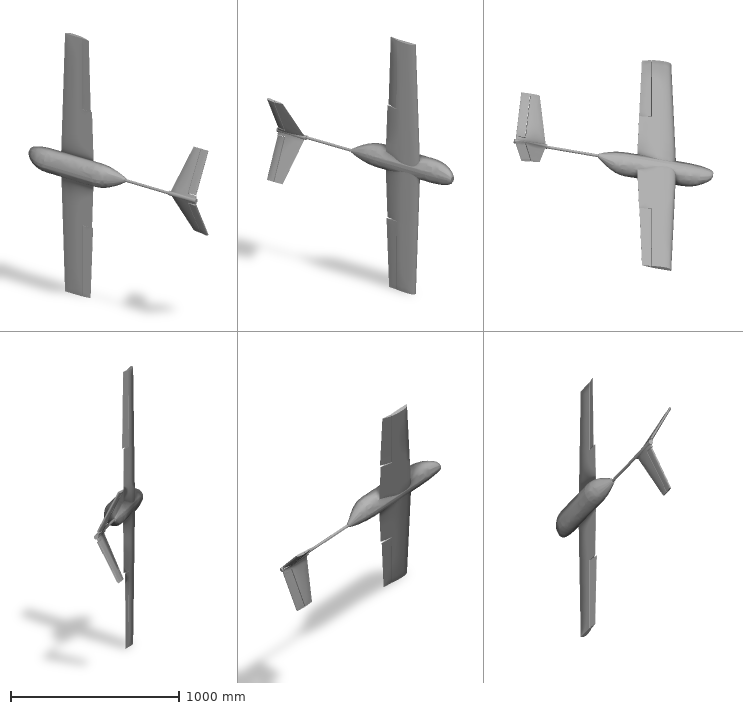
import cadquery as cq
import math


FUSELAGE_LENGTH = 699.0
NOSE_LENGTH = 170.0
TAIL_CONE_START = 519.0
FUSELAGE_HALF_WIDTH = 74.0
FUSELAGE_TOP = 34.0
FUSELAGE_BOTTOM = -99.0
NOSE_TIP_RADIUS = 18.0
TAIL_TIP_RADIUS = 12.0
NOSE_POWERS = (0.5, 0.9, 0.6)
TAIL_POWERS = (1.1, 1.3, 1.0)
CONE_STEPS = 6
STATION_POWER = 1.5
HALF_ELLIPSE_STEPS = 8

TOTAL_LENGTH = 1215.0
BOOM_RADIUS = 8.0
MOUNT_START = 1013.0
MOUNT_RADIUS = 13.0
MOUNT_AXIS_Y = 3.0

HALF_SPAN = 840.0
PANEL_JOINT = 376.0
WING_ROOT_FRONT = 223.0
WING_ROOT_REAR = 464.0
WING_TIP_FRONT = 254.0
WING_TIP_REAR = 433.0
WING_BOTTOM = 2.0
WING_THICKNESS_RATIO = 0.12
WING_CREST = 0.3
WING_AFT = 0.65
WING_AFT_HEIGHT = 0.7
WING_EDGE_HEIGHT = 0.08
WING_REAR_SLOPE = 0.15

HINGE_GAP = 3.0
AILERON_FRONT = 380.0
AILERON_ANGLE = 8.0
RUDDERVATOR_FRONT = 1152.0
RUDDERVATOR_START = 32.0
RUDDERVATOR_ANGLE = 8.0

TAIL_DIHEDRAL = 27.4
TAIL_SPAN = 305.0
TAIL_ROOT_START = 10.0
TAIL_ROOT_FRONT = 1023.0
TAIL_TIP_FRONT = 1094.0
TAIL_REAR = 1205.0
TAIL_ROOT_THICKNESS = 15.0
TAIL_TIP_THICKNESS = 12.0
TAIL_CREST = 0.35
TAIL_EDGE_RATIO = 0.1

CUTTER_HEIGHT = 168.0
CUTTER_REACH = 168.0


def fuselage_section(x, top, bottom, half_width):
    """Ellipse at station x as two smooth halves that meet on the Z = 0 plane."""
    half_height = (top - bottom) / 2
    section = cq.Workplane("YZ", origin=(x, (top + bottom) / 2, 0)).moveTo(-half_height, 0)
    for side in (1, -1):
        points = []
        for step in range(1, HALF_ELLIPSE_STEPS + 1):
            angle = math.pi * step / HALF_ELLIPSE_STEPS
            points.append((-side * half_height * math.cos(angle), side * half_width * math.sin(angle)))
        section = section.spline(points, tangents=[(0, side), (0, -side)], includeCurrent=True)
    return section.close().val()


def swell(start, end, fraction, power):
    """Value growing from start to end, levelling off as fraction nears 1."""
    return start + (end - start) * (1 - (1 - fraction) ** 2) ** power


def fuselage_cone(tip_x, full_x, tip_radius, top_power, bottom_power, width_power):
    """Rounded end from a small round face at tip_x to the full section at full_x."""
    sections = []
    for step in range(CONE_STEPS + 1):
        fraction = (step / CONE_STEPS) ** STATION_POWER
        sections.append(fuselage_section(
            tip_x + (full_x - tip_x) * fraction,
            swell(tip_radius, FUSELAGE_TOP, fraction, top_power),
            swell(-tip_radius, FUSELAGE_BOTTOM, fraction, bottom_power),
            swell(tip_radius, FUSELAGE_HALF_WIDTH, fraction, width_power),
        ))
    return cq.Workplane(cq.Solid.makeLoft(sections))


def make_fuselage(wing):
    """Body with a blunt nose, a constant middle and a tail cone, holed for the wing."""
    nose = fuselage_cone(0, NOSE_LENGTH, NOSE_TIP_RADIUS, *NOSE_POWERS)
    tail_cone = fuselage_cone(FUSELAGE_LENGTH, TAIL_CONE_START, TAIL_TIP_RADIUS, *TAIL_POWERS)
    middle_ends = [
        fuselage_section(x, FUSELAGE_TOP, FUSELAGE_BOTTOM, FUSELAGE_HALF_WIDTH)
        for x in (NOSE_LENGTH, TAIL_CONE_START)
    ]
    middle = cq.Workplane(cq.Solid.makeLoft(middle_ends, True))
    return middle.union(nose, clean=False).union(tail_cone, clean=False).cut(wing, clean=False)


def rod(start, end, radius, axis_y):
    """Round rod along X."""
    return cq.Workplane("YZ", origin=(start, axis_y, 0)).circle(radius).extrude(end - start)


def wing_section(z):
    """Flat-bottomed airfoil wire at span position z."""
    fraction = abs(z) / HALF_SPAN
    front = WING_ROOT_FRONT + (WING_TIP_FRONT - WING_ROOT_FRONT) * fraction
    rear = WING_ROOT_REAR + (WING_TIP_REAR - WING_ROOT_REAR) * fraction
    chord = rear - front
    thickness = chord * WING_THICKNESS_RATIO
    return (
        cq.Workplane("XY", origin=(front, WING_BOTTOM, z))
        .moveTo(chord, 0)
        .lineTo(chord, WING_EDGE_HEIGHT * thickness)
        .spline(
            [(WING_AFT * chord, WING_AFT_HEIGHT * thickness), (WING_CREST * chord, thickness), (0, 0)],
            tangents=[(-1, WING_REAR_SLOPE), (0, -1)],
            includeCurrent=True,
        )
        .close()
        .val()
    )


def make_full_wing():
    """Straight-tapered wing, ailerons not yet separated."""
    stations = (-HALF_SPAN, -PANEL_JOINT, 0, PANEL_JOINT, HALF_SPAN)
    sections = [wing_section(z) for z in stations]
    return cq.Workplane(cq.Solid.makeLoft(sections, True))


def rear_block(front, start, end, side):
    """Block behind x = front, from span position start to end on one side."""
    block = cq.Workplane("XY").box(
        WING_ROOT_REAR - AILERON_FRONT + CUTTER_REACH, CUTTER_HEIGHT, end - start,
        centered=(False, True, False),
    ).translate((front, 0, start))
    return block if side > 0 else block.mirror("XY")


def make_aileron(full_wing, side):
    """Aileron cut from the wing and turned about its hinge; +Z goes down, -Z up."""
    block = rear_block(AILERON_FRONT, PANEL_JOINT + HINGE_GAP, HALF_SPAN + CUTTER_REACH, side)
    hinge_y = WING_BOTTOM + WING_THICKNESS_RATIO * (WING_TIP_REAR - WING_TIP_FRONT) / 2
    hinge_start = (AILERON_FRONT, hinge_y, 0)
    hinge_end = (AILERON_FRONT, hinge_y, 1)
    return full_wing.intersect(block).rotate(hinge_start, hinge_end, -side * AILERON_ANGLE)


def make_wing(full_wing):
    """Wing with a notch at each aileron."""
    wing = full_wing
    for side in (1, -1):
        notch = rear_block(AILERON_FRONT - HINGE_GAP, PANEL_JOINT, HALF_SPAN + CUTTER_REACH, side)
        wing = wing.cut(notch, clean=False)
    return wing


def tail_section(z, front, thickness):
    """Symmetrical airfoil wire of the tail at span position z."""
    chord = TAIL_REAR - front
    half = thickness / 2
    edge = TAIL_EDGE_RATIO * half
    crest = TAIL_CREST * chord
    return (
        cq.Workplane("XY", origin=(front, 0, z))
        .moveTo(chord, edge)
        .spline([(crest, half), (0, 0), (crest, -half), (chord, -edge)], includeCurrent=True)
        .close()
        .val()
    )


def make_flat_tail():
    """One tail surface along +Z, before it is slanted."""
    root = tail_section(TAIL_ROOT_START, TAIL_ROOT_FRONT, TAIL_ROOT_THICKNESS)
    tip = tail_section(TAIL_SPAN, TAIL_TIP_FRONT, TAIL_TIP_THICKNESS)
    return cq.Workplane(cq.Solid.makeLoft([root, tip], True))


def place_tail(surface, side):
    """Slant a flat tail surface upward and put it on the chosen side."""
    slanted = surface.rotate((0, 0, 0), (1, 0, 0), -TAIL_DIHEDRAL).translate((0, MOUNT_AXIS_Y, 0))
    return slanted if side > 0 else slanted.mirror("XY")


def make_stabilizer(mount, side):
    """Fixed tail surface, notched for the ruddervator and fitted to the mount."""
    notch = rear_block(
        RUDDERVATOR_FRONT - HINGE_GAP, RUDDERVATOR_START - HINGE_GAP, TAIL_SPAN + CUTTER_REACH, 1)
    return place_tail(make_flat_tail().cut(notch), side).cut(mount)


def make_ruddervator(side):
    """Moving tail surface, turned down about its hinge."""
    block = rear_block(RUDDERVATOR_FRONT, RUDDERVATOR_START, TAIL_SPAN + CUTTER_REACH, 1)
    hinge_start = (RUDDERVATOR_FRONT, 0, 0)
    hinge_end = (RUDDERVATOR_FRONT, 0, 1)
    surface = make_flat_tail().intersect(block).rotate(hinge_start, hinge_end, -RUDDERVATOR_ANGLE)
    return place_tail(surface, side)


full_wing = make_full_wing()
wing = make_wing(full_wing)
fuselage = make_fuselage(wing)
boom = rod(FUSELAGE_LENGTH, MOUNT_START, BOOM_RADIUS, 0)
mount = rod(MOUNT_START, TOTAL_LENGTH, MOUNT_RADIUS, MOUNT_AXIS_Y)

ailerons = []
stabilizers = []
ruddervators = []
for side in (1, -1):
    ailerons.append(make_aileron(full_wing, side).val())
    stabilizers.append(make_stabilizer(mount, side).val())
    ruddervators.append(make_ruddervator(side).val())

result = cq.Compound.makeCompound([
    fuselage.val(),
    wing.val(),
    boom.val(),
    mount.val(),
    *ailerons,
    *stabilizers,
    *ruddervators,
])